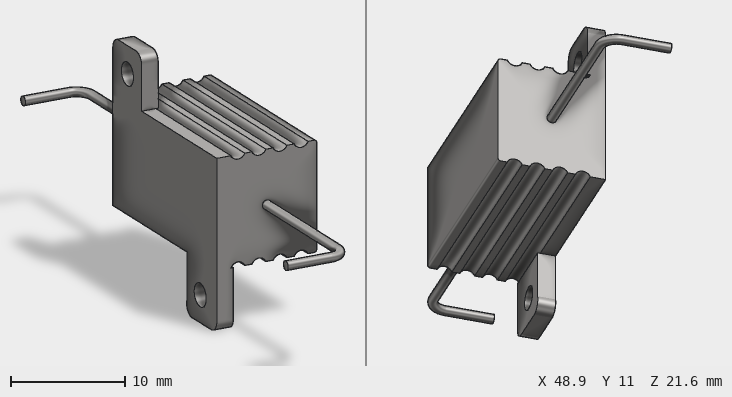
import cadquery as cq
import math

overall_length = 48.85
overall_depth = 11.0

body_length = 19.0
body_depth = 9.95
body_top = 5.2
body_bottom = -5.3
back_edge_round = 0.3

groove_count = 4
groove_width = 1.35
groove_depth = 0.45
groove_pitch = 2.1
first_groove_from_back = 1.55

tab_thickness = 1.65
tab_round = 1.05
hole_diameter = 2.2
upper_tab_width = 5.3
upper_tab_height = 5.3
upper_inner_bulge = 0.0
upper_hole_from_side = 2.7
upper_hole_from_end = 2.65
lower_tab_width = 5.45
lower_tab_height = 5.8
lower_inner_bulge = 0.05
lower_hole_from_side = 3.05
lower_hole_from_end = 2.6

lead_diameter = 0.9
lead_bend_radius = 1.55

body_back = body_depth / 2
body_front = body_back - body_depth
body_left = -body_length / 2
body_right = body_length / 2
lead_tip_y = body_back - overall_depth
lead_leg_x = (overall_length - lead_diameter) / 2


def make_body():
    """Block with its two rear long edges rounded."""
    block = cq.Workplane("XY").box(body_length, body_depth, body_top - body_bottom)
    block = block.translate((0, 0, (body_top + body_bottom) / 2))
    return block.edges("|X and >Y").fillet(back_edge_round)


def make_groove(y, z):
    """Full-length cylinder that cuts one arc groove, its axis at (y, z)."""
    cutter = cq.Workplane("YZ", origin=(body_left, 0, 0)).center(y, z)
    return cutter.circle(groove_radius).extrude(body_length)


def make_tab(side_x, inward, base_z, outward, width, height, inner_bulge, hole_from_side, hole_from_end):
    """Round-cornered plate flush with the body front, with one hole.

    inward and outward are +1 or -1 along X and Z. The inner corner arc swells past
    the tab's inner side by inner_bulge; with no bulge it is tangent to that side.
    """

    def place(across, out):
        return (side_x + inward * across, base_z + outward * out)

    arc_z = height - tab_round
    inner_arc_x = width - tab_round + inner_bulge
    diagonal = tab_round * math.sqrt(0.5)
    inner_arc_drop = math.sqrt(tab_round**2 - (tab_round - inner_bulge) ** 2)
    outline = (
        cq.Workplane("XZ", origin=(0, body_front, 0))
        .moveTo(*place(0, 0))
        .lineTo(*place(0, arc_z))
        .threePointArc(place(tab_round - diagonal, arc_z + diagonal), place(tab_round, height))
        .lineTo(*place(inner_arc_x, height))
        .threePointArc(
            place(inner_arc_x + diagonal, arc_z + diagonal),
            place(width, arc_z - inner_arc_drop),
        )
        .lineTo(*place(width, 0))
        .close()
    )
    hole = (
        cq.Workplane("XZ", origin=(0, body_front, 0))
        .center(*place(hole_from_side, height - hole_from_end))
        .circle(hole_diameter / 2)
    )
    return outline.extrude(-tab_thickness).cut(hole.extrude(-tab_thickness))


def make_leads():
    """One round wire through the body, bent forward at both ends."""
    bend_x = lead_leg_x - lead_bend_radius
    path = (
        cq.Workplane("XY")
        .moveTo(-lead_leg_x, lead_tip_y)
        .lineTo(-lead_leg_x, -lead_bend_radius)
        .tangentArcPoint((-bend_x, 0), relative=False)
        .lineTo(bend_x, 0)
        .tangentArcPoint((lead_leg_x, -lead_bend_radius), relative=False)
        .lineTo(lead_leg_x, lead_tip_y)
    )
    section = cq.Workplane("XZ", origin=(-lead_leg_x, lead_tip_y, 0)).circle(lead_diameter / 2)
    return section.sweep(path)


groove_radius = ((groove_width / 2) ** 2 + groove_depth**2) / (2 * groove_depth)
groove_axis_offset = groove_radius - groove_depth

body = make_body()
for index in range(groove_count):
    groove_y = body_back - first_groove_from_back - index * groove_pitch
    body = body.cut(make_groove(groove_y, body_top + groove_axis_offset))
    body = body.cut(make_groove(groove_y, body_bottom - groove_axis_offset))

upper_tab = make_tab(
    body_left, 1, body_top, 1,
    upper_tab_width, upper_tab_height, upper_inner_bulge,
    upper_hole_from_side, upper_hole_from_end,
)
lower_tab = make_tab(
    body_right, -1, body_bottom, -1,
    lower_tab_width, lower_tab_height, lower_inner_bulge,
    lower_hole_from_side, lower_hole_from_end,
)

result = body.union(upper_tab).union(lower_tab).union(make_leads())